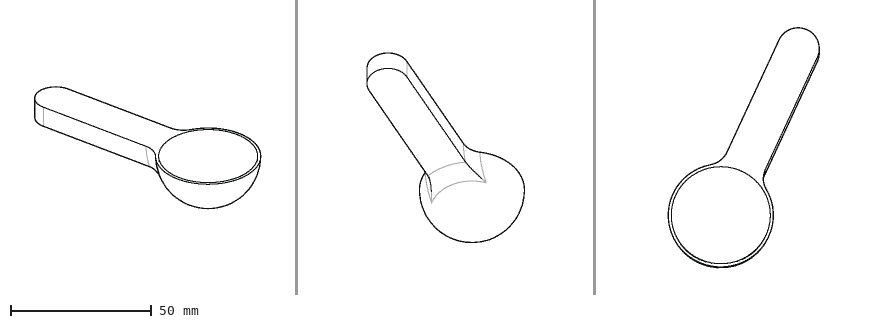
import cadquery as cq

length = 92.6
bowl_radius = 18.7
wall = 1.1
handle_width = 15.0
handle_thickness = 8.1
neck_fillet = 8.0

handle_radius = handle_width / 2
handle_tip_x = bowl_radius - length
handle_end_x = handle_tip_x + handle_radius


def half_ball(radius):
    """Solid lower half of a ball whose flat face lies at Z = 0."""
    quarter = (
        cq.Workplane("XZ")
        .moveTo(0, 0)
        .lineTo(0, -radius)
        .radiusArc((radius, 0), -radius)
        .close()
    )
    return quarter.revolve(360, (0, 0, 0), (0, 1, 0))


def handle():
    """Flat bar with a full-round tip, running from the tip to the bowl centre."""
    return (
        cq.Workplane("XY")
        .moveTo(0, handle_radius)
        .lineTo(handle_end_x, handle_radius)
        .threePointArc((handle_tip_x, 0), (handle_end_x, -handle_radius))
        .lineTo(0, -handle_radius)
        .close()
        .extrude(-handle_thickness)
    )


body = half_ball(bowl_radius).union(handle())

box_margin = 0.9
seam_box = cq.selectors.BoxSelector(
    (-bowl_radius, -handle_width, -handle_thickness - box_margin),
    (-box_margin, handle_width, -box_margin),
)
body = body.edges(seam_box).fillet(neck_fillet)

result = body.cut(half_ball(bowl_radius - wall))